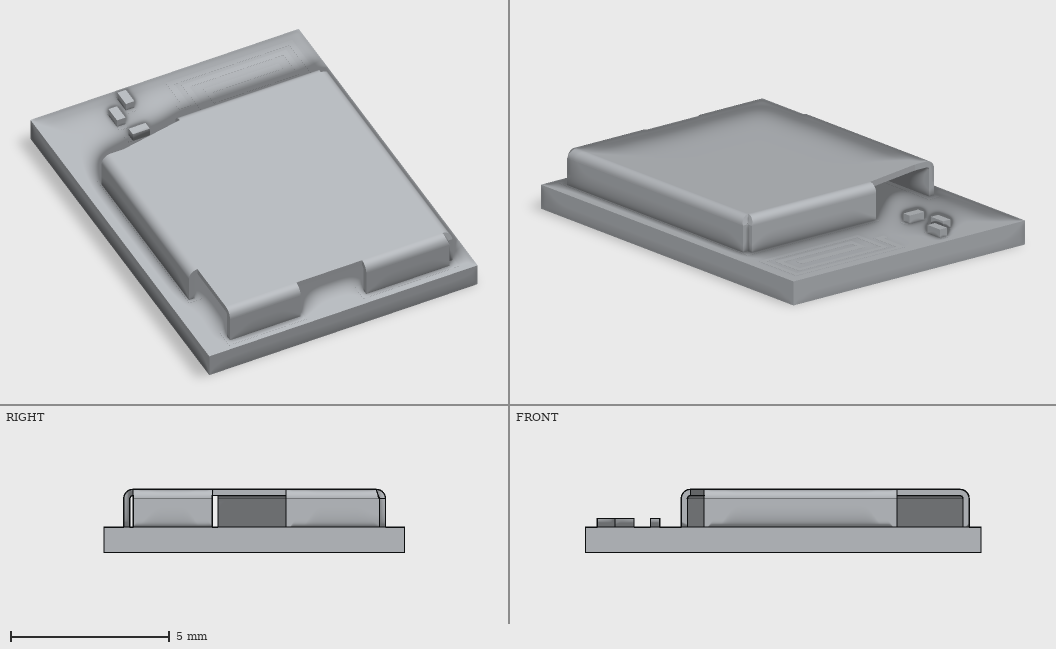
import cadquery as cq

BOARD_LENGTH = 12.5
BOARD_WIDTH = 9.5
BOARD_THICKNESS = 0.8
COPPER = 0.006
COPPER_TOP = BOARD_THICKNESS + COPPER

TOTAL_HEIGHT = 2.0
SHEET = 0.2
BEND_RADIUS = 0.3
SHIELD_LEFT = -3.22
SHIELD_RIGHT = 5.88
SHIELD_BACK = 4.15
SHIELD_FRONT = -4.12

BEND_Z = TOTAL_HEIGHT - BEND_RADIUS

LID_LEFT = SHIELD_LEFT + BEND_RADIUS
LID_RIGHT = SHIELD_RIGHT - BEND_RADIUS
LID_BACK = SHIELD_BACK - BEND_RADIUS
LID_FRONT = SHIELD_FRONT + BEND_RADIUS

LEFT_WALL_FRONT = -1.15
FRONT_WALL_LEFT = -2.5
FRONT_WALL_RIGHT = 3.6
LID_SLANT_END = -3.35
SIDE_WALL_BACK = SHIELD_BACK - SHEET
REAR_RIGHT_WALL_FRONT = 1.0
FRONT_RIGHT_WALL_BACK = -1.32
BACK_WALL_LEFT = SHIELD_LEFT + SHEET
BACK_WALL_RIGHT = SHIELD_RIGHT - SHEET

PAD_LEFT = -3.35
PAD_RIGHT = 6.02
PAD_BACK = 4.22
PAD_WIDTH = 0.6
LEFT_PAD_FRONT = -1.2
RIGHT_PAD_FRONT = 0.82
FRONT_PAD_X = (-2.72, 3.72)
FRONT_PAD_Y = (-4.18, -3.72)
CORNER_PAD_X = (5.35, 6.08)
CORNER_PAD_Y = (-3.95, -1.22)

CHIP_LENGTH = 0.6
CHIP_WIDTH = 0.3
CHIP_HEIGHT = 0.28
CHIPS = [
    (-5.58, -1.71, 0, 0.1, 0.15),
    (-5.01, -2.31, 0, 0.1, 0.19),
    (-4.05, -2.01, 90, 0.15, 0.15),
]

ANTENNA_OUTLINE = [
    (-4.8, -0.35), (-4.8, -0.16), (-5.88, -0.16), (-5.88, 4.32), (-4.0, 4.32), (-4.0, 0.25),
    (-5.55, 0.25), (-5.55, 3.95), (-4.32, 3.95), (-4.32, 0.78), (-5.08, 0.78), (-5.08, 3.44),
    (-4.8, 3.44), (-4.8, 0.96), (-4.56, 0.96), (-4.56, 3.76), (-5.36, 3.76), (-5.36, 0.44),
    (-4.19, 0.44), (-4.19, 4.14), (-5.69, 4.14), (-5.69, 0.06), (-4.56, 0.06), (-4.56, -0.35),
]


def block(x_range, y_range, z_range):
    """Box between the given limits."""
    size = [high - low for low, high in (x_range, y_range, z_range)]
    return cq.Workplane("XY").box(*size, centered=False).translate((x_range[0], y_range[0], z_range[0]))


def copper(x_range, y_range):
    """Rectangle of copper on the board."""
    return block(x_range, y_range, (BOARD_THICKNESS, COPPER_TOP))


def shield_pads():
    """Pads under the shield walls: one round the back three sides and two single ones."""
    left = copper((PAD_LEFT, PAD_LEFT + PAD_WIDTH), (LEFT_PAD_FRONT, PAD_BACK))
    back = copper((PAD_LEFT, PAD_RIGHT), (PAD_BACK - PAD_WIDTH, PAD_BACK))
    right = copper((PAD_RIGHT - PAD_WIDTH, PAD_RIGHT), (RIGHT_PAD_FRONT, PAD_BACK))
    front = copper(FRONT_PAD_X, FRONT_PAD_Y)
    corner = copper(CORNER_PAD_X, CORNER_PAD_Y)
    return left.union(back).union(right).union(front).union(corner)


def chip_pad(x, y, turn, start_margin, end_margin):
    """Copper under one chip, as wide as the chip and longer than it."""
    reach = CHIP_LENGTH / 2
    pad = copper((-reach - start_margin, reach + end_margin), (-CHIP_WIDTH / 2, CHIP_WIDTH / 2))
    return pad.rotate((0, 0, 0), (0, 0, 1), turn).translate((x, y, 0))


def make_board():
    """Board with its copper."""
    half_length = BOARD_LENGTH / 2
    half_width = BOARD_WIDTH / 2
    board = block((-half_length, half_length), (-half_width, half_width), (0, BOARD_THICKNESS))
    antenna = (
        cq.Workplane("XY").workplane(offset=BOARD_THICKNESS)
        .polyline(ANTENNA_OUTLINE).close().extrude(COPPER)
    )
    board = board.union(antenna).union(shield_pads())
    for chip in CHIPS:
        board = board.union(chip_pad(*chip))
    return board


def along(plane, distance):
    """Distance along +Y for a profile in XZ (whose normal is -Y) or along +X for one in YZ."""
    return -distance if plane == "XZ" else distance


def bent_wall(plane, edge, outward, start, end):
    """Wall hanging from the lid by a round bend.

    The profile lies in the given plane, with the lid edge at `edge` and the wall on the side
    that `outward` (1 or -1) points to. It runs from `start` to `end` along Y for an XZ profile
    and along X for a YZ profile.
    """
    inner_radius = BEND_RADIUS - SHEET
    diagonal = 0.5 ** 0.5
    outer = edge + outward * BEND_RADIUS
    inner = edge + outward * inner_radius
    outer_mid = (edge + outward * BEND_RADIUS * diagonal, BEND_Z + BEND_RADIUS * diagonal)
    inner_mid = (edge + outward * inner_radius * diagonal, BEND_Z + inner_radius * diagonal)
    return (
        cq.Workplane(plane).workplane(offset=along(plane, start))
        .moveTo(edge, TOTAL_HEIGHT)
        .threePointArc(outer_mid, (outer, BEND_Z))
        .lineTo(outer, COPPER_TOP)
        .lineTo(inner, COPPER_TOP)
        .lineTo(inner, BEND_Z)
        .threePointArc(inner_mid, (edge, TOTAL_HEIGHT - SHEET))
        .close()
        .extrude(along(plane, end - start))
    )


def bend_trim(plane, wall_end, lid_edge, bend_start, bend_end):
    """Wedge that slants the end of a bend, from the wall's end up to the lid's corner."""
    return (
        cq.Workplane(plane).workplane(offset=along(plane, bend_start))
        .polyline([(wall_end, BEND_Z), (lid_edge, TOTAL_HEIGHT), (wall_end, TOTAL_HEIGHT)]).close()
        .extrude(along(plane, bend_end - bend_start))
    )


def make_shield():
    """Flat lid with one left, one back, one front and two right walls."""
    lid = (
        cq.Workplane("XY").workplane(offset=TOTAL_HEIGHT - SHEET)
        .moveTo(LID_LEFT, LID_BACK)
        .lineTo(LID_RIGHT, LID_BACK)
        .lineTo(LID_RIGHT, LID_FRONT)
        .lineTo(FRONT_WALL_LEFT, LID_FRONT)
        .lineTo(FRONT_WALL_LEFT, LID_SLANT_END)
        .lineTo(LID_LEFT, LEFT_WALL_FRONT)
        .close()
        .extrude(SHEET)
    )
    left = bent_wall("XZ", LID_LEFT, -1, LEFT_WALL_FRONT, SIDE_WALL_BACK)
    left = left.cut(bend_trim("YZ", SIDE_WALL_BACK, LID_BACK, SHIELD_LEFT, LID_LEFT))
    rear_right = bent_wall("XZ", LID_RIGHT, 1, REAR_RIGHT_WALL_FRONT, SIDE_WALL_BACK)
    rear_right = rear_right.cut(bend_trim("YZ", SIDE_WALL_BACK, LID_BACK, LID_RIGHT, SHIELD_RIGHT))
    front_right = bent_wall("XZ", LID_RIGHT, 1, LID_FRONT, FRONT_RIGHT_WALL_BACK)
    back = bent_wall("YZ", LID_BACK, 1, BACK_WALL_LEFT, BACK_WALL_RIGHT)
    back = back.cut(bend_trim("XZ", BACK_WALL_LEFT, LID_LEFT, LID_BACK, SHIELD_BACK))
    back = back.cut(bend_trim("XZ", BACK_WALL_RIGHT, LID_RIGHT, LID_BACK, SHIELD_BACK))
    front = bent_wall("YZ", LID_FRONT, -1, FRONT_WALL_LEFT, FRONT_WALL_RIGHT)

    shield = lid
    for wall in (left, rear_right, front_right, back, front):
        shield = shield.union(wall)
    return shield


def make_chip(x, y, turn):
    """Rectangular chip lying on its pad."""
    chip = cq.Workplane("XY").box(CHIP_LENGTH, CHIP_WIDTH, CHIP_HEIGHT, centered=(True, True, False))
    return chip.rotate((0, 0, 0), (0, 0, 1), turn).translate((x, y, COPPER_TOP))


board = make_board()
shield = make_shield()
chips = [make_chip(x, y, turn) for x, y, turn, _, _ in CHIPS]

result = cq.Compound.makeCompound([board.val(), shield.val(), *[chip.val() for chip in chips]])